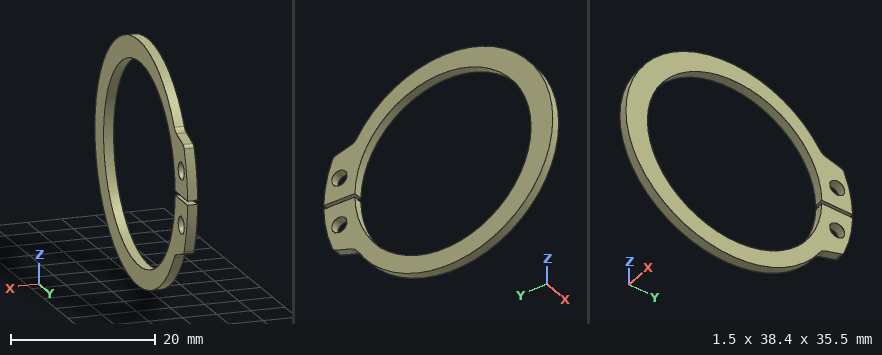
import cadquery as cq
import math

thickness = 1.5
overall_length = 38.35
overall_height = 35.55
bore_radius = 14.72
bore_offset = 0.6
gap_width = 0.58
hole_diameter = 2.5
hole_y = 17.33
hole_z = 3.9
lug_corner_y = 18.35
lug_root_z = 8.9
lug_corner_radius = 0.85
lug_root_radius = 1.6

rim_radius = overall_height / 2
rim_center_y = -bore_offset
half_gap = gap_width / 2
lug_tip_y = overall_length - rim_radius + rim_center_y
lug_radius = math.hypot(lug_tip_y, half_gap)
lug_corner_z = math.sqrt(lug_radius**2 - lug_corner_y**2)
lug_root_y = rim_center_y + math.sqrt(rim_radius**2 - lug_root_z**2)


def vertex_zone(y, z):
    """Selector for the edges through the ring at (y, z) and at its mirror (y, -z)."""
    reach = 0.05
    upper = cq.selectors.BoxSelector(
        (0, y - reach, z - reach), (thickness, y + reach, z + reach)
    )
    lower = cq.selectors.BoxSelector(
        (0, y - reach, -z - reach), (thickness, y + reach, -z + reach)
    )
    return upper + lower


def make_blank():
    """Solid plate bounded by the rim and the two lugs, before any cuts."""
    rim_far_y = rim_center_y - rim_radius
    blank = (
        cq.Workplane("YZ")
        .moveTo(lug_root_y, -lug_root_z)
        .lineTo(lug_corner_y, -lug_corner_z)
        .threePointArc((lug_radius, 0), (lug_corner_y, lug_corner_z))
        .lineTo(lug_root_y, lug_root_z)
        .threePointArc((rim_far_y, 0), (lug_root_y, -lug_root_z))
        .close()
        .extrude(thickness)
    )
    blank = blank.edges(vertex_zone(lug_corner_y, lug_corner_z)).fillet(lug_corner_radius)
    return blank.edges(vertex_zone(lug_root_y, lug_root_z)).fillet(lug_root_radius)


def make_bore():
    return cq.Workplane("YZ").circle(bore_radius).extrude(thickness)


def make_gap():
    """Slot through the ring between the two lugs."""
    return cq.Workplane("XY").box(thickness, lug_radius, gap_width, centered=(False, False, True))


def make_plier_holes():
    return (
        cq.Workplane("YZ")
        .pushPoints([(hole_y, hole_z), (hole_y, -hole_z)])
        .circle(hole_diameter / 2)
        .extrude(thickness)
    )


result = make_blank().cut(make_bore()).cut(make_gap()).cut(make_plier_holes())